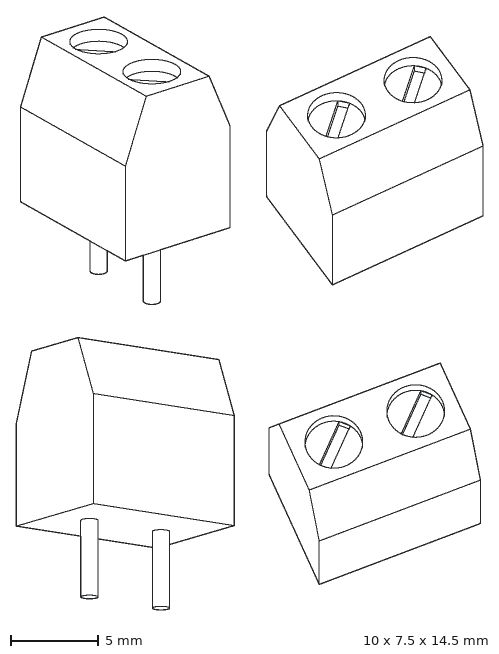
import cadquery as cq
import math

total_height = 14.5
body_width = 10.0
body_depth = 7.5
body_height = 10.0

shoulder_inset = 1.5
front_shoulder_drop = 4.0
rear_shoulder_drop = 3.55

pole_pitch = 5.08
pin_diameter = 1.0
pin_length = total_height - body_height

recess_diameter = 3.3
recess_depth = 0.75
slot_width = 0.7
slot_depth = 0.5
slot_angle = 45

pole_centers = [(-pole_pitch / 2, 0), (pole_pitch / 2, 0)]


def make_body():
    """Housing profile in YZ, extruded across the width; its underside is at Z = 0."""
    half_depth = body_depth / 2
    half_top = half_depth - shoulder_inset
    profile = [
        (-half_depth, 0),
        (half_depth, 0),
        (half_depth, body_height - rear_shoulder_drop),
        (half_top, body_height),
        (-half_top, body_height),
        (-half_depth, body_height - front_shoulder_drop),
    ]
    return cq.Workplane("YZ").polyline(profile).close().extrude(body_width / 2, both=True)


def make_pins():
    """Solder pins hanging below the housing."""
    return cq.Workplane("XY").pushPoints(pole_centers).circle(pin_diameter / 2).extrude(-pin_length)


def make_recesses():
    """Cylinders to remove above the screw heads."""
    return (
        cq.Workplane("XY", origin=(0, 0, body_height))
        .pushPoints(pole_centers)
        .circle(recess_diameter / 2)
        .extrude(-recess_depth)
    )


def make_driver_slot(center):
    """Flat-ended diagonal slot to remove from one screw head, its corners on the head's rim."""
    slot_length = math.sqrt(recess_diameter**2 - slot_width**2)
    return (
        cq.Workplane("XY", origin=(0, 0, body_height - recess_depth))
        .center(*center)
        .transformed(rotate=(0, 0, slot_angle))
        .rect(slot_length, slot_width)
        .extrude(-slot_depth)
    )


result = make_body().union(make_pins()).cut(make_recesses())
for pole_center in pole_centers:
    result = result.cut(make_driver_slot(pole_center))